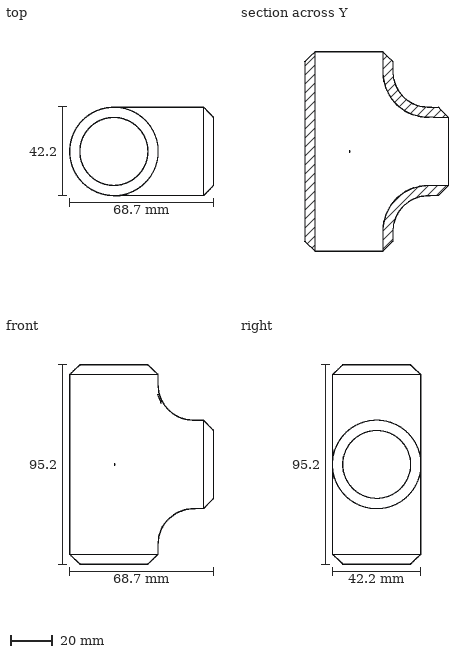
import cadquery as cq
import math

run_length = 95.2
branch_length = 47.6
outer_radius = 21.1
bore_radius = 16.2
bevel_height = 4.8
crotch_reach = 37.9
blend_section_count = 9
blend_core_inset = 0.5


def run_cylinder(radius):
    return cq.Workplane("XY").circle(radius).extrude(run_length / 2, both=True)


def branch_cylinder(radius):
    return cq.Workplane("YZ").circle(radius).extrude(branch_length)


def blend_distance(angle, radius):
    """Distance from the tee centre to the crotch arc along a ray in the XZ plane."""
    arc_radius = crotch_reach - radius
    along = crotch_reach * (math.cos(angle) + math.sin(angle))
    return along - math.sqrt(along**2 - 2 * crotch_reach**2 + arc_radius**2)


def crotch_blend(radius):
    """Upper crotch: half ellipses turned about Y, shrinking to nothing at the sides.

    Every slice across Y is an arc tangent to both cylinders.
    """
    start_angle = math.atan2(radius, crotch_reach)
    end_angle = math.pi / 2 - start_angle
    step = (end_angle - start_angle) / (blend_section_count - 1)
    wires = []
    for index in range(blend_section_count):
        angle = start_angle + index * step
        reach = blend_distance(angle, radius)
        outward = cq.Vector(math.cos(angle), 0, math.sin(angle))
        plane = cq.Plane(
            origin=(0, 0, 0),
            xDir=outward.toTuple(),
            normal=outward.cross(cq.Vector(0, 1, 0)).toTuple(),
        )
        trim = math.acos(blend_core_inset / reach)
        section = (
            cq.Workplane(plane)
            .parametricCurve(
                lambda t: (
                    reach * math.cos(trim * (2 * t - 1)),
                    radius * math.sin(trim * (2 * t - 1)),
                ),
                makeWire=False,
            )
            .close()
        )
        wires.append(section.val())
    return cq.Workplane(cq.Solid.makeLoft(wires))


def tee_body(radius):
    blend = crotch_blend(radius)
    body = run_cylinder(radius).union(branch_cylinder(radius))
    return body.union(blend).union(blend.mirror("XY"))


def bevel_ends(body):
    bevel_width = outer_radius - bore_radius
    for end in (">Z", "<Z"):
        body = body.faces(end).edges().chamfer(bevel_height, bevel_width)
    return body.faces(">X").edges().chamfer(bevel_height, bevel_width)


result = bevel_ends(tee_body(outer_radius)).cut(tee_body(bore_radius))